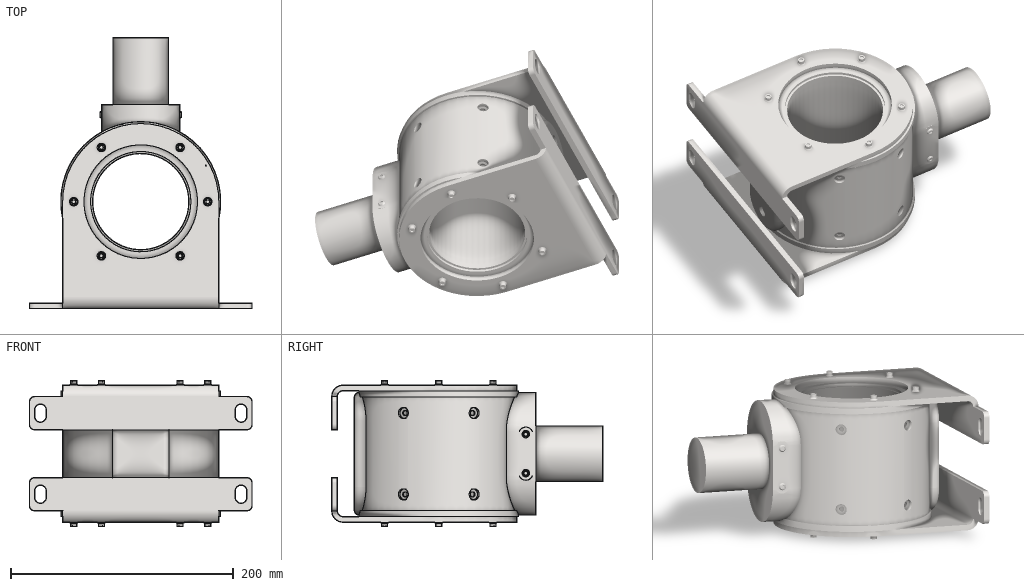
import cadquery as cq
import math

TOTAL_WIDTH = 200.0
TOTAL_LENGTH = 243.2
TOTAL_HEIGHT = 131.0
FRONT_Y = -96.0
PIPE_END_Y = FRONT_Y + TOTAL_LENGTH

SHEET = 5.0
PLATE_OUTER_Z = 61.5
PLATE_INNER_Z = PLATE_OUTER_Z - SHEET
PLATE_RADIUS = 70.0
PLATE_OPENING_DIAMETER = 102.0
BEND_OUTER_RADIUS = 2 * SHEET
FOOT_INNER_Z = 21.5
FOOT_OUTER_Z = PLATE_OUTER_Z - BEND_OUTER_RADIUS
FOOT_CORNER_RADIUS = 4.9
SLOT_WIDTH = 10.2
SLOT_LENGTH = 16.0
SLOT_X = 90.0

BODY_RADIUS = PLATE_RADIUS
RIM_RADIUS = 71.7
RIM_HEIGHT = 5.4
BORE_DIAMETER = 86.0
BORE_STEP_DIAMETER = 90.0
BORE_STEP_DEPTH = 2.5

PIPE_DIAMETER = 50.0
COLLAR_END_Y = 87.0
COLLAR_WIDTH = 70.3
COLLAR_HEIGHT = 110.2
COLLAR_BOSS_RADIUS = 6.3
COLLAR_SCREW_Y = 78.0
COLLAR_SCREW_Z = 17.5

PAD_FRONT_Y = -76.0
PAD_WIDTH = 50.5
PAD_HEIGHT = 110.5
PAD_EDGE_RADIUS = 4.9

PLATE_SCREW_CIRCLE_RADIUS = 60.0
PLATE_SCREW_ANGLES = (0, 54, 126, 180, 234, 306)
SCREW_BASE_DIAMETER = 7.5
SCREW_BASE_HEIGHT = 1.0
SCREW_TIP_DIAMETER = 5.5
SCREW_SOCKET_DIAMETER = 3.5
SCREW_SOCKET_DEPTH = 1.2
COLLAR_SCREW_DIAMETER = 6.5
COLLAR_SCREW_TIP_DIAMETER = 4.5
COLLAR_SCREW_HEIGHT = 1.5

SUNK_SCREW_ANGLES = (-27, 27, 153, 207)
SUNK_SCREW_Z = 36.5
SUNK_HOLE_DIAMETER = 10.0
SUNK_HOLE_DEPTH = 3.2
SUNK_SOCKET_DIAMETER = 4.5
SUNK_SOCKET_DEPTH = 1.5


def cylinder_z(radius, z_low, z_high):
    return cq.Workplane("XY").workplane(offset=z_low).circle(radius).extrude(z_high - z_low)


def cylinder_along(start, direction, diameter, length):
    solid = cq.Solid.makeCylinder(diameter / 2, length, cq.Vector(*start), cq.Vector(*direction))
    return cq.Workplane(obj=solid)


def mirrored_in_z(shape):
    return shape.union(shape.mirror("XY"))


def top_bracket():
    inner_radius = BEND_OUTER_RADIUS - SHEET
    bend_y = FRONT_Y + BEND_OUTER_RADIUS
    diagonal = math.sqrt(0.5)
    outer_mid = (bend_y - BEND_OUTER_RADIUS * diagonal, FOOT_OUTER_Z + BEND_OUTER_RADIUS * diagonal)
    inner_mid = (bend_y - inner_radius * diagonal, FOOT_OUTER_Z + inner_radius * diagonal)
    strip = (
        cq.Workplane("YZ")
        .moveTo(PLATE_RADIUS, PLATE_OUTER_Z)
        .lineTo(bend_y, PLATE_OUTER_Z)
        .threePointArc(outer_mid, (FRONT_Y, FOOT_OUTER_Z))
        .lineTo(FRONT_Y + SHEET, FOOT_OUTER_Z)
        .threePointArc(inner_mid, (bend_y, PLATE_INNER_Z))
        .lineTo(PLATE_RADIUS, PLATE_INNER_Z)
        .close()
        .extrude(PLATE_RADIUS, both=True)
    )
    outline = (
        cq.Workplane("XY")
        .moveTo(-PLATE_RADIUS, FRONT_Y)
        .lineTo(PLATE_RADIUS, FRONT_Y)
        .lineTo(PLATE_RADIUS, 0)
        .threePointArc((0, PLATE_RADIUS), (-PLATE_RADIUS, 0))
        .close()
        .extrude(PLATE_OUTER_Z)
    )
    opening = cylinder_z(PLATE_OPENING_DIAMETER / 2, PLATE_INNER_Z, PLATE_OUTER_Z)
    return strip.intersect(outline).cut(opening).union(bracket_foot())


def bracket_foot():
    foot_height = FOOT_OUTER_Z - FOOT_INNER_Z
    middle_z = (FOOT_OUTER_Z + FOOT_INNER_Z) / 2
    foot = (
        cq.Workplane("XY")
        .box(TOTAL_WIDTH, SHEET, foot_height)
        .edges("|Y")
        .fillet(FOOT_CORNER_RADIUS)
        .translate((0, FRONT_Y + SHEET / 2, middle_z))
    )
    slots = (
        cq.Workplane("XZ", origin=(0, FRONT_Y, middle_z))
        .pushPoints([(-SLOT_X, 0), (SLOT_X, 0)])
        .slot2D(SLOT_LENGTH, SLOT_WIDTH, 90)
        .extrude(-SHEET)
    )
    return foot.cut(slots)


def housing():
    body = cylinder_z(BODY_RADIUS, -PLATE_INNER_Z, PLATE_INNER_Z)
    rim = cylinder_z(RIM_RADIUS, PLATE_INNER_Z - RIM_HEIGHT, PLATE_INNER_Z)
    return body.union(mirrored_in_z(rim))


def pad():
    return (
        cq.Workplane("XZ")
        .slot2D(PAD_HEIGHT, PAD_WIDTH, 90)
        .extrude(-PAD_FRONT_Y)
        .faces("<Y")
        .edges()
        .fillet(PAD_EDGE_RADIUS)
    )


def collar_and_pipe():
    collar = cq.Workplane("XZ").slot2D(COLLAR_HEIGHT, COLLAR_WIDTH, 90).extrude(-COLLAR_END_Y)
    pipe = cq.Workplane("XZ").circle(PIPE_DIAMETER / 2).extrude(-PIPE_END_Y)
    bosses = (
        cq.Workplane("YZ")
        .pushPoints([(COLLAR_SCREW_Y, -COLLAR_SCREW_Z), (COLLAR_SCREW_Y, COLLAR_SCREW_Z)])
        .circle(COLLAR_BOSS_RADIUS)
        .extrude(COLLAR_WIDTH / 2, both=True)
    )
    return collar.union(pipe).union(bosses)


def bores():
    main_bore = cylinder_z(BORE_DIAMETER / 2, -PLATE_OUTER_Z, PLATE_OUTER_Z)
    step = cylinder_z(BORE_STEP_DIAMETER / 2, PLATE_INNER_Z - BORE_STEP_DEPTH, PLATE_INNER_Z)
    return main_bore.union(mirrored_in_z(step))


def plate_screws():
    tip_z = TOTAL_HEIGHT / 2
    base_top_z = PLATE_OUTER_Z + SCREW_BASE_HEIGHT
    profile = (
        cq.Workplane("XZ")
        .moveTo(0, PLATE_OUTER_Z)
        .lineTo(SCREW_BASE_DIAMETER / 2, PLATE_OUTER_Z)
        .lineTo(SCREW_TIP_DIAMETER / 2, base_top_z)
        .lineTo(SCREW_TIP_DIAMETER / 2, tip_z)
        .lineTo(SCREW_SOCKET_DIAMETER / 2, tip_z)
        .lineTo(SCREW_SOCKET_DIAMETER / 2, tip_z - SCREW_SOCKET_DEPTH)
        .lineTo(0, tip_z - SCREW_SOCKET_DEPTH)
        .close()
    )
    screw = profile.revolve(360, (0, 0), (0, 1))
    screws = cq.Workplane("XY")
    for angle in PLATE_SCREW_ANGLES:
        placed = screw.translate((PLATE_SCREW_CIRCLE_RADIUS, 0, 0)).rotate((0, 0, 0), (0, 0, 1), angle)
        screws = screws.add(placed)
    return screws.combine()


def collar_screws():
    face_x = COLLAR_WIDTH / 2
    screws = cq.Workplane("XY")
    for side in (-1, 1):
        for z in (-COLLAR_SCREW_Z, COLLAR_SCREW_Z):
            head = cq.Solid.makeCone(
                COLLAR_SCREW_DIAMETER / 2,
                COLLAR_SCREW_TIP_DIAMETER / 2,
                COLLAR_SCREW_HEIGHT,
                cq.Vector(side * face_x, COLLAR_SCREW_Y, z),
                cq.Vector(side, 0, 0),
            )
            socket = cylinder_along(
                (side * (face_x + COLLAR_SCREW_HEIGHT), COLLAR_SCREW_Y, z),
                (-side, 0, 0),
                SCREW_SOCKET_DIAMETER,
                SCREW_SOCKET_DEPTH,
            )
            screws = screws.add(cq.Workplane(obj=head).cut(socket))
    return screws.combine()


def sunk_hole(angle, surface_radius, z):
    outward = (math.cos(math.radians(angle)), math.sin(math.radians(angle)), 0)
    floor_radius = surface_radius - SUNK_HOLE_DEPTH
    socket_radius = floor_radius - SUNK_SOCKET_DEPTH
    pocket_start = (floor_radius * outward[0], floor_radius * outward[1], z)
    socket_start = (socket_radius * outward[0], socket_radius * outward[1], z)
    pocket = cylinder_along(pocket_start, outward, SUNK_HOLE_DIAMETER, 2 * SUNK_HOLE_DEPTH)
    socket = cylinder_along(socket_start, outward, SUNK_SOCKET_DIAMETER, 2 * SUNK_SOCKET_DEPTH)
    return pocket.union(socket)


result = housing().union(pad()).union(collar_and_pipe()).cut(bores())

for hole_z in (-SUNK_SCREW_Z, SUNK_SCREW_Z):
    for hole_angle in SUNK_SCREW_ANGLES:
        result = result.cut(sunk_hole(hole_angle, BODY_RADIUS, hole_z))
    result = result.cut(sunk_hole(-90, -PAD_FRONT_Y, hole_z))

result = result.union(mirrored_in_z(top_bracket()))
result = result.union(mirrored_in_z(plate_screws())).union(collar_screws())